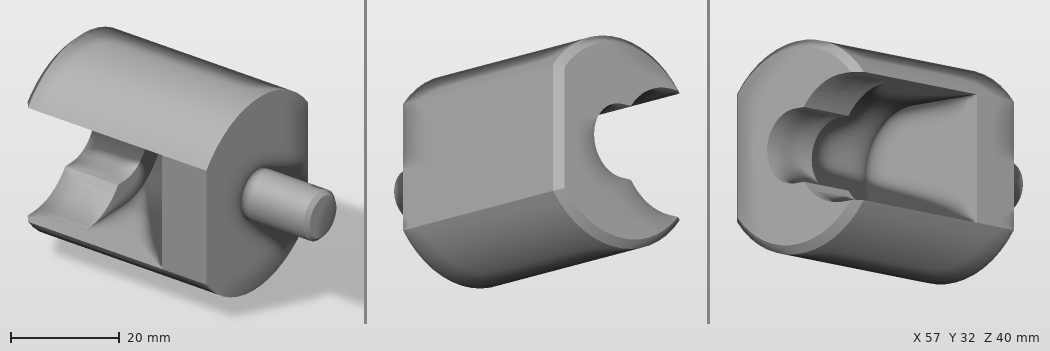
import cadquery as cq
import math

total_length = 57.0
body_length = 42.0
body_radius = 20.0
width_across_flats = 32.0
body_chamfer = 1.5
stud_diameter = 10.0
stud_chamfer = 0.8
throat_length = 12.0
throat_radius = 7.0
cavity_end = 32.0

half_width = width_across_flats / 2
slot_radius = math.sqrt(body_radius**2 - half_width**2)
throat_flare_y = -slot_radius


def make_body():
    """Round bar with two flats, chamfered around the entry face."""
    bar = cq.Workplane("YZ").circle(body_radius).extrude(body_length)
    flats = cq.Workplane("YZ").rect(width_across_flats, 2 * body_radius).extrude(body_length)
    return bar.intersect(flats).faces("<X").edges().chamfer(body_chamfer)


def make_stud():
    """Cylindrical stud on the far end face."""
    stud = cq.Workplane("YZ", origin=(body_length, 0, 0)).circle(stud_diameter / 2)
    return stud.extrude(total_length - body_length).faces(">X").edges().chamfer(stud_chamfer)


def side_slot(radius, round_y, start, end):
    """Slot with a round end centred at round_y, open through the -Y flat."""
    return (
        cq.Workplane("YZ", origin=(start, 0, 0))
        .moveTo(-half_width, radius)
        .lineTo(round_y, radius)
        .threePointArc((round_y + radius, 0), (round_y, -radius))
        .lineTo(-half_width, -radius)
        .close()
        .extrude(end - start)
    )


cavity = side_slot(slot_radius, 0, throat_length, cavity_end)
throat = side_slot(throat_radius, 0, 0, throat_length)
throat_flare = side_slot(slot_radius, throat_flare_y, 0, throat_length)

result = make_body().union(make_stud()).cut(cavity).cut(throat).cut(throat_flare)